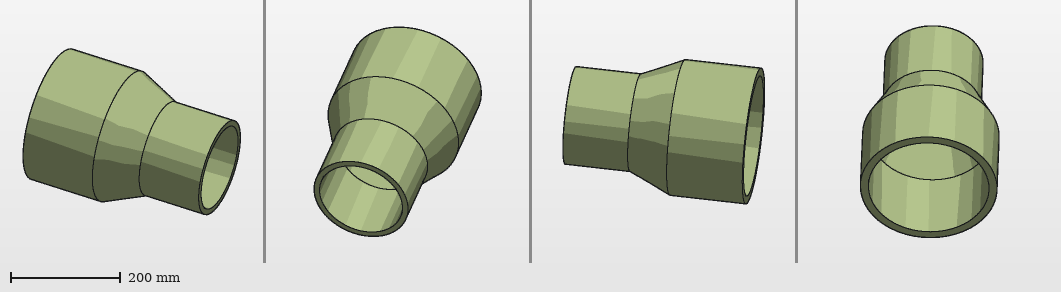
import cadquery as cq

large_outer_diameter = 250.0
large_bore_diameter = 220.4
small_outer_diameter = 180.0
small_bore_diameter = 158.6

large_end_length = 140.0
small_end_length = 120.0
total_length = 338.0

cone_start = large_end_length
cone_end = total_length - small_end_length


def stepped_taper(large_diameter, small_diameter):
    """Solid of revolution: large cylinder, cone, then small cylinder along +X."""
    large_radius = large_diameter / 2
    small_radius = small_diameter / 2
    half_profile = (
        cq.Workplane("XY")
        .moveTo(0, 0)
        .lineTo(0, large_radius)
        .lineTo(cone_start, large_radius)
        .lineTo(cone_end, small_radius)
        .lineTo(total_length, small_radius)
        .lineTo(total_length, 0)
        .close()
    )
    return half_profile.revolve(360, (0, 0, 0), (1, 0, 0))


body = stepped_taper(large_outer_diameter, small_outer_diameter)
bore = stepped_taper(large_bore_diameter, small_bore_diameter)

result = body.cut(bore)